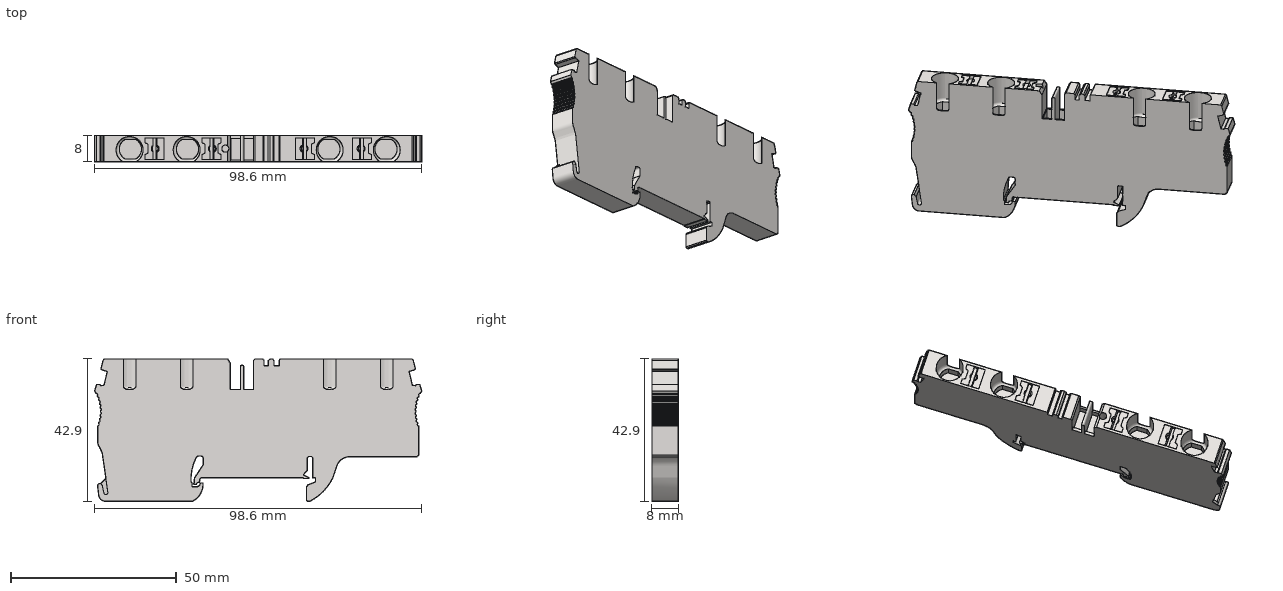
import cadquery as cq
import math

LENGTH = 98.64
WIDTH = 8.0
HEIGHT = 42.9
HALF_LENGTH = LENGTH / 2
HALF_WIDTH = WIDTH / 2

GRIP_CENTRE_X = 59.65
GRIP_CENTRE_Z = 27.1
GRIP_RADIUS = 12.08
GRIP_TOP_Z = 32.8
GRIP_BOTTOM_Z = 22.7
GRIP_TEETH = 9
TOOTH_DEPTH = 0.25
SIDE_X = 48.4

RAIL_Z = 7.05
WING_Z = 13.37
WING_CORNER = 0.6
FOOT_WEB = 0.85
FOOT_WEB_TOP = 6.9
FOOT_SLOT_BOTTOM = 2.7
FOOT_LIP = (-47.5, 5.4)
FOOT_WALL_TOP = 14.4
FOOT_WALL_TOP_X = -47.0
FOOT_WALL_LEAN = 0.145

ENTRY_X = (21.55, 38.75)
ENTRY_Y = -0.4
ENTRY_RADIUS = 4.06
ENTRY_FLAT_Y = 3.61
ENTRY_DEPTH = 9.3
ENTRY_ROUND = 1.0
INNER_RADIUS = 3.35
INNER_SHIFT = 0.25
INNER_Y = -0.15
INNER_FLATS = 5.94
INNER_DEPTH = 13.0

BUTTON_OFFSET = 7.5
BUTTON_LENGTH = 5.7
BUTTON_WIDTH = 6.4
BUTTON_RECESS = 0.2
NOTCH_DEPTH = 0.9
NOTCH_OUTER_HALF = 1.8
NOTCH_INNER_HALF = 1.3
BLADE_SLOT_WIDTH = 1.2
BLADE_SLOT_DEPTH = 1.2
BLADE_SLOT_LEAN = 0.4
BUTTON_HOLE_DIAMETER = 2.6
BUTTON_HOLE_FLOOR = 1.6
BUTTON_HOLE_DEPTH = 0.8
BUTTON_HOLE_SHIFT = 0.25

CHANNEL_LEFT = -8.37
CHANNEL_RIGHT = -1.46
CHANNEL_DEPTH = 9.13
CHANNEL_BEVEL = 0.8
CHANNEL_BEVEL_HEIGHT = 1.25
CHANNEL_CORNER = 0.5
FIN_LEFT = -5.38
FIN_RIGHT = -4.34
FIN_TOP = 41.04
FIN_ROUND = 0.5
POCKET_FRONT = -3.42
POCKET_BACK = 3.12
POCKET_DEPTH = 3.0
POCKET_MARGIN = 0.25

TEST_HOLE_X = -9.9
TEST_HOLE_DIAMETER = 2.15

GROOVE_DEPTH = 2.0
GROOVE_LIP = 0.5
GROOVES = ((1.81, 3.0, 1.4, 3.6), (4.78, 6.3, 4.4, 6.5))


def grip_point(radius, angle, side):
    """Point of a grip hollow at an angle measured from the inward direction."""
    x = GRIP_CENTRE_X - radius * math.cos(angle)
    return (side * x, GRIP_CENTRE_Z + radius * math.sin(angle))


def grip_points(side):
    """Toothed edge of one grip, from top to bottom."""
    top = math.asin((GRIP_TOP_Z - GRIP_CENTRE_Z) / GRIP_RADIUS)
    bottom = math.asin((GRIP_BOTTOM_Z - GRIP_CENTRE_Z) / GRIP_RADIUS)
    step = (bottom - top) / GRIP_TEETH
    points = [grip_point(GRIP_RADIUS, top, side)]
    for tooth in range(GRIP_TEETH):
        start = top + tooth * step
        points.append(grip_point(GRIP_RADIUS, start + step / 4, side))
        points.append(grip_point(GRIP_RADIUS + TOOTH_DEPTH, start + step / 2, side))
        points.append(grip_point(GRIP_RADIUS + TOOTH_DEPTH, start + step * 3 / 4, side))
        points.append(grip_point(GRIP_RADIUS, start + step, side))
    return points


def end_points(side):
    """Upper edge of one end, from the top corner over the marker hook to the grip."""
    hook = [
        (46.4, HEIGHT),
        (46.75, HEIGHT - 0.4),
        (47.4, 39.9),
        (47.1, 39.6),
        (45.5, 39.1),
        (46.5, 35.0),
        (47.4, 34.9),
        (47.7, 35.27),
        (48.7, 35.27),
        (HALF_LENGTH, 33.2),
    ]
    return [(side * x, z) for x, z in hook] + grip_points(side)


def foot_wall_point(z):
    """Point on the leaning wall that runs down into the foot slot."""
    return (FOOT_WALL_TOP_X + FOOT_WALL_LEAN * (FOOT_WALL_TOP - z), z)


def polygon_prism(points):
    """Prism of an XZ polygon through the full thickness."""
    return cq.Workplane("XZ").polyline(points).close().extrude(HALF_WIDTH, both=True)


def block(x_range, y_range, z_range):
    """Axis-aligned box given by its limits."""
    size = [high - low for low, high in (x_range, y_range, z_range)]
    corner = (x_range[0], y_range[0], z_range[0])
    return cq.Workplane("XY").box(*size, centered=False).translate(corner)


def make_body():
    """Outline of the block, run counter-clockwise from the top left corner."""
    left = end_points(-1)
    right = end_points(1)
    outline = cq.Workplane("XZ").moveTo(*left[0])
    for point in left[1:]:
        outline = outline.lineTo(*point)
    outline = (
        outline.lineTo(-SIDE_X, 18.0)
        .threePointArc((-48.31, 17.3), (-48.0, 16.6))
        .lineTo(-47.25, 15.1)
        .lineTo(*foot_wall_point(FOOT_WALL_TOP))
        .lineTo(*foot_wall_point(FOOT_WEB_TOP))
        .lineTo(*FOOT_LIP)
        .threePointArc((-48.1, 5.25), (-SIDE_X, 4.5))
        .lineTo(-48.1, 1.9)
        .threePointArc((-47.45, 0.6), (-46.2, 0))
        .lineTo(-19.8, 0)
    )
    outline = (
        outline.threePointArc((-17.4, 2.2), (-16.6, 5.55))
        .lineTo(-17.5, 5.55)
        .lineTo(-17.55, 5.1)
        .threePointArc((-18.0, 4.6), (-18.65, 4.4))
        .lineTo(-19.9, 4.4)
        .lineTo(-19.9, 5.5)
        .lineTo(-20.2, 6.0)
        .threePointArc((-19.9, 9.6), (-18.75, 13.0))
        .threePointArc((-18.5, 13.4), (-18.0, 13.6))
        .lineTo(-17.2, 13.6)
        .threePointArc((-16.78, 13.42), (-16.6, 13.0))
        .lineTo(-16.6, 11.0)
        .lineTo(-19.25, 7.0)
        .lineTo(-19.3, 5.6)
        .lineTo(-19.65, 5.2)
        .lineTo(-18.65, 5.0)
        .lineTo(-18.5, 5.5)
        .lineTo(-17.65, 5.8)
        .lineTo(-17.5, 6.8)
        .lineTo(-17.2, RAIL_Z)
    )
    outline = (
        outline.lineTo(13.6, RAIL_Z)
        .lineTo(13.6, 6.85)
        .lineTo(15.3, 6.85)
        .lineTo(15.3, 7.2)
        .lineTo(14.35, 7.6)
        .lineTo(13.6, 8.0)
        .lineTo(14.8, 9.3)
        .lineTo(14.8, 13.0)
        .threePointArc((14.95, 13.3), (15.25, 13.45))
        .lineTo(16.1, 13.45)
        .lineTo(16.4, 13.15)
        .lineTo(16.4, RAIL_Z)
        .lineTo(17.24, RAIL_Z)
        .lineTo(17.24, 5.9)
        .lineTo(15.0, 5.0)
        .lineTo(14.55, 4.4)
        .lineTo(14.55, 0.3)
        .lineTo(14.9, 0)
        .lineTo(15.6, 0)
    )
    outline = (
        outline.threePointArc((19.6, 2.95), (22.5, RAIL_Z))
        .lineTo(23.7, 10.6)
        .threePointArc((25.0, 12.5), (27.1, WING_Z))
        .lineTo(SIDE_X - WING_CORNER, WING_Z)
        .lineTo(SIDE_X, WING_Z + WING_CORNER)
    )
    for point in reversed(right):
        outline = outline.lineTo(*point)
    return outline.close().extrude(HALF_WIDTH, both=True)


def foot_slot():
    """Slot behind the foot lip, closed by a thin web at +Y."""
    slot = (
        cq.Workplane("XZ")
        .moveTo(*foot_wall_point(FOOT_WEB_TOP))
        .lineTo(*foot_wall_point(FOOT_SLOT_BOTTOM))
        .threePointArc((-45.85, 2.05), (-46.5, 2.6))
        .lineTo(-46.95, 4.7)
        .lineTo(*FOOT_LIP)
        .close()
        .extrude(HALF_WIDTH, both=True)
    )
    return slot.translate((0, -FOOT_WEB, 0))


def conductor_entry(x):
    """Round entry that breaks through the -Y face, with a rounded ledge and a flattened inner bore."""
    side = math.copysign(1, x)
    ledge = HEIGHT - ENTRY_DEPTH
    ledge_radius = ENTRY_RADIUS - ENTRY_ROUND
    arc_inset = ENTRY_ROUND * (1 - math.sqrt(0.5))
    entry = (
        cq.Workplane("XZ")
        .moveTo(0, HEIGHT)
        .lineTo(ENTRY_RADIUS, HEIGHT)
        .lineTo(ENTRY_RADIUS, ledge + ENTRY_ROUND)
        .threePointArc((ENTRY_RADIUS - arc_inset, ledge + arc_inset), (ledge_radius, ledge))
        .lineTo(0, ledge)
        .close()
        .revolve(360, (0, 0), (0, 1))
    )
    entry = entry.translate((x, ENTRY_Y, 0))
    x_range = (x - ENTRY_RADIUS, x + ENTRY_RADIUS)
    entry = entry.intersect(block(x_range, (-WIDTH, ENTRY_FLAT_Y), (0, HEIGHT)))
    inner_x = x - side * INNER_SHIFT
    inner = (
        cq.Workplane("XY", origin=(inner_x, INNER_Y, HEIGHT - INNER_DEPTH))
        .circle(INNER_RADIUS)
        .extrude(INNER_DEPTH - ENTRY_DEPTH + ENTRY_ROUND)
    )
    flats = (INNER_Y - INNER_FLATS / 2, INNER_Y + INNER_FLATS / 2)
    return entry.union(inner.intersect(block(x_range, flats, (0, HEIGHT))))


def button_notch(x, inward):
    """Trapezoid left standing in the button recess, with its base at x."""
    tip = x + inward * NOTCH_DEPTH
    points = [
        (x, -NOTCH_OUTER_HALF),
        (tip, -NOTCH_INNER_HALF),
        (tip, NOTCH_INNER_HALF),
        (x, NOTCH_OUTER_HALF),
    ]
    notch = cq.Workplane("XY", origin=(0, 0, HEIGHT - BUTTON_RECESS)).polyline(points)
    return notch.close().extrude(BUTTON_RECESS)


def push_button(entry_x, notched_both_ends):
    """Shallow recess of a push button with a leaning blade slot and a central countersink."""
    side = math.copysign(1, entry_x)
    x = entry_x - side * BUTTON_OFFSET
    half = BUTTON_LENGTH / 2
    y_range = (-BUTTON_WIDTH / 2, BUTTON_WIDTH / 2)
    button = block((x - half, x + half), y_range, (HEIGHT - BUTTON_RECESS, HEIGHT))
    button = button.cut(button_notch(x + side * half, -side))
    if notched_both_ends:
        button = button.cut(button_notch(x - side * half, side))
    floor = HEIGHT - BLADE_SLOT_DEPTH
    floor_x = x + side * BLADE_SLOT_LEAN / 2
    mouth_x = x - side * BLADE_SLOT_LEAN / 2
    slot_half = BLADE_SLOT_WIDTH / 2
    slot = (
        cq.Workplane("XZ")
        .polyline([
            (floor_x - slot_half, floor),
            (floor_x + slot_half, floor),
            (mouth_x + slot_half, HEIGHT),
            (mouth_x - slot_half, HEIGHT),
        ])
        .close()
        .extrude(BUTTON_WIDTH / 2, both=True)
    )
    hole = (
        cq.Workplane("XY", origin=(x - side * BUTTON_HOLE_SHIFT, 0, HEIGHT - BUTTON_HOLE_DEPTH))
        .circle(BUTTON_HOLE_FLOOR / 2)
        .workplane(offset=BUTTON_HOLE_DEPTH)
        .circle(BUTTON_HOLE_DIAMETER / 2)
        .loft()
    )
    return button.union(slot).union(hole)


def bridge_channel():
    """Channel with bevelled edges and a deeper pocket, leaving a rounded fin."""
    floor = HEIGHT - CHANNEL_DEPTH
    channel = polygon_prism([
        (CHANNEL_LEFT, floor),
        (CHANNEL_RIGHT, floor),
        (CHANNEL_RIGHT, HEIGHT - CHANNEL_CORNER),
        (CHANNEL_RIGHT + CHANNEL_CORNER, HEIGHT),
        (CHANNEL_LEFT - CHANNEL_BEVEL, HEIGHT),
        (CHANNEL_LEFT, HEIGHT - CHANNEL_BEVEL_HEIGHT),
    ])
    pocket_floor = floor - POCKET_DEPTH
    pocket_x = (CHANNEL_LEFT + POCKET_MARGIN, CHANNEL_RIGHT)
    pocket = block(pocket_x, (POCKET_FRONT, POCKET_BACK), (pocket_floor, floor))
    fin = block((FIN_LEFT, FIN_RIGHT), (-HALF_WIDTH, HALF_WIDTH), (pocket_floor, FIN_TOP))
    fin = fin.edges("|Y and >Z").fillet(FIN_ROUND)
    return channel.union(pocket).cut(fin)


def marker_groove(left, right, mouth_left, mouth_right):
    """Cross groove in the top with splayed mouth edges."""
    floor = HEIGHT - GROOVE_DEPTH
    lip = HEIGHT - GROOVE_LIP
    return polygon_prism([
        (left, floor),
        (right, floor),
        (right, lip),
        (mouth_right, HEIGHT),
        (mouth_left, HEIGHT),
        (left, lip),
    ])


def test_hole():
    """Blind round hole beside the bridge channel."""
    hole = cq.Workplane("XY", origin=(TEST_HOLE_X, 0, HEIGHT - CHANNEL_DEPTH))
    return hole.circle(TEST_HOLE_DIAMETER / 2).extrude(CHANNEL_DEPTH)


result = make_body().cut(foot_slot()).cut(bridge_channel()).cut(test_hole())
for groove in GROOVES:
    result = result.cut(marker_groove(*groove))
for distance in ENTRY_X:
    for side in (-1, 1):
        entry_x = side * distance
        beside_test_hole = side < 0 and distance == min(ENTRY_X)
        result = result.cut(conductor_entry(entry_x))
        result = result.cut(push_button(entry_x, beside_test_hole))